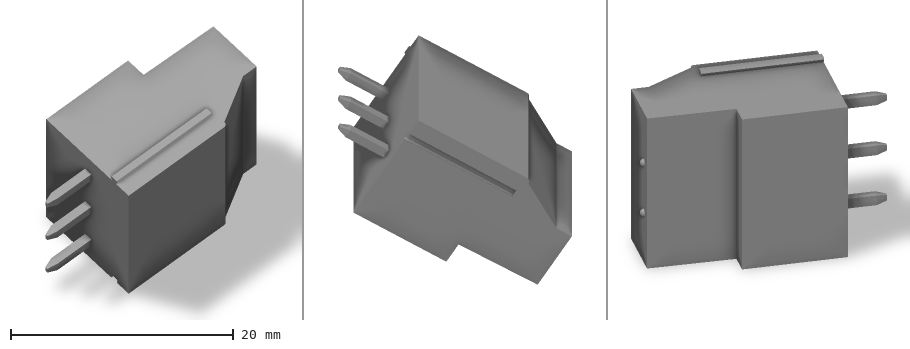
import cadquery as cq


pitch = 5.08
pole_count = 3
housing_length = pole_count * pitch
housing_depth = 11.2
housing_height = 18.02
step_height = 9.78
step_foot_x = 2.1
top_left_x = 2.25
top_right_x = 8.12
slope_top_height = 16.4
slope_foot_x = 10.79
slope_foot_height = 11.82
lip_height = 11.51
lip_bulge_x = 11.05
lip_bulge_height = 11.72

rail_x = 9.22
rail_height = 11.37
rail_projection = 0.51
rail_neck_width = 0.55
rail_wide_width = 0.94
rail_bevel_width = 0.12
rail_bevel_depth = 0.16
groove_neck_width = 0.75

pin_x = 5.7
pin_width = 0.85
pin_thickness = 0.98
pin_length = 5.0
pin_tip_length = 0.95
pin_tip_width = 0.28
pin_tip_thickness = 0.58

stud_x = 3.42
stud_radius = 0.4
stud_height = 0.37


def make_housing():
    """Extrude the stepped side outline along the row."""
    return (
        cq.Workplane("XY")
        .moveTo(0, 0)
        .lineTo(housing_depth, 0)
        .lineTo(housing_depth, lip_height)
        .threePointArc((lip_bulge_x, lip_bulge_height), (slope_foot_x, slope_foot_height))
        .lineTo(top_right_x, slope_top_height)
        .lineTo(top_right_x, housing_height)
        .lineTo(top_left_x, housing_height)
        .lineTo(step_foot_x, step_height)
        .lineTo(0, step_height)
        .close()
        .extrude(housing_length)
    )


def make_dovetail(base_z, neck_width):
    """Dovetail bar that rises from base_z and widens towards its bevelled top."""
    half_neck = neck_width / 2
    half_wide = rail_wide_width / 2
    half_top = half_wide - rail_bevel_width
    top_z = base_z + rail_projection
    bevel_z = top_z - rail_bevel_depth
    return (
        cq.Workplane("XZ")
        .polyline([
            (rail_x - half_neck, base_z),
            (rail_x - half_wide, bevel_z),
            (rail_x - half_top, top_z),
            (rail_x + half_top, top_z),
            (rail_x + half_wide, bevel_z),
            (rail_x + half_neck, base_z),
        ])
        .close()
        .extrude(-rail_height)
    )


def make_pin(pin_z):
    """Rectangular pin below the base with a tapered tip."""
    shank_length = pin_length - pin_tip_length
    shank = (
        cq.Workplane("XZ")
        .center(pin_x, pin_z)
        .rect(pin_width, pin_thickness)
        .extrude(shank_length)
    )
    return (
        shank.faces("<Y")
        .workplane(centerOption="CenterOfMass")
        .rect(pin_width, pin_thickness)
        .workplane(offset=pin_tip_length)
        .rect(pin_tip_width, pin_tip_thickness)
        .loft(combine=True)
    )


def make_stud(stud_z):
    """Spherical stud whose exposed cap stands on the top face."""
    return (
        cq.Workplane("XY")
        .sphere(stud_radius)
        .translate((stud_x, housing_height + stud_height - stud_radius, stud_z))
    )


result = make_housing()
result = result.union(make_dovetail(housing_length, rail_neck_width))
result = result.cut(make_dovetail(0, groove_neck_width))
for pole in range(pole_count):
    result = result.union(make_pin((pole + 0.5) * pitch))
for boundary in range(1, pole_count):
    result = result.union(make_stud(boundary * pitch))